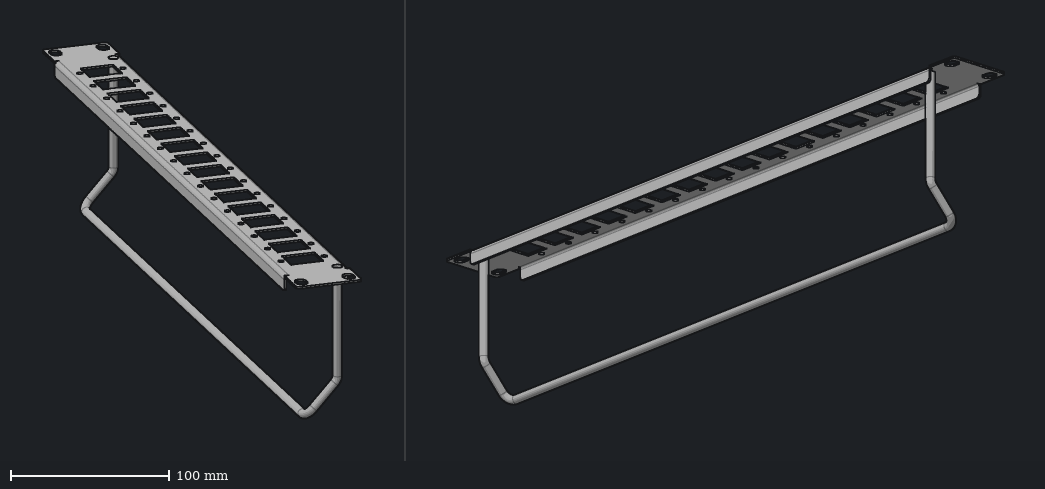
import cadquery as cq
import math

panel_length = 482.5
panel_width = 44.0
sheet = 1.5
ear_corner_radius = 2.5

flange_length = 435.5
flange_drop = 10.5
flange_corner_radius = 2.5
bend_outer_radius = 3.0
bend_inner_radius = bend_outer_radius - sheet

slot_length = 10.0
slot_width = 7.0
slot_spacing_x = 465.0
slot_spacing_y = 32.0

window_count = 16
window_row_span = 381.3
window_pitch = window_row_span / (window_count - 1)
window_width = 17.5
window_height = 21.5
screw_hole_diameter = 3.5
screw_hole_spacing_y = 29.0

rod_diameter = 6.5
rod_radius = rod_diameter / 2
leg_x = 212.0
leg_inset = 6.5
leg_y = panel_width / 2 - leg_inset
knee_z = -76.0
crossbar_y = -5.5
crossbar_z = -98.5
bend_radius = 7.0

sink_top_diameter = 6.5
sink_bottom_diameter = 3.2
thread_diameter = 3.0
thread_depth = 8.5
pilot_diameter = 2.45
pilot_depth = 16.0


def make_panel():
    """Flat sheet, ears included, with rounded corners and its top face at Z = 0."""
    plate = (
        cq.Workplane("XY")
        .box(panel_length, panel_width, sheet, centered=(True, True, False))
        .translate((0, 0, -sheet))
        .edges("|Z")
        .fillet(ear_corner_radius)
    )
    middle = cq.Workplane("XY").box(flange_length, panel_width, 2 * sheet)
    return plate.cut(middle).union(make_channel())


def make_channel():
    """Middle stretch of the panel: a shallow channel with rounded folds."""
    inner_width = panel_width - 2 * sheet
    outer = (
        cq.Workplane("XY")
        .box(flange_length, panel_width, flange_drop, centered=(True, True, False))
        .translate((0, 0, -flange_drop))
        .edges("|X and >Z")
        .fillet(bend_outer_radius)
    )
    inner = (
        cq.Workplane("XY")
        .box(flange_length, inner_width, flange_drop, centered=(True, True, False))
        .translate((0, 0, -flange_drop - sheet))
        .edges("|X and >Z")
        .fillet(bend_inner_radius)
    )
    return outer.cut(inner).edges("|Y and <Z").fillet(flange_corner_radius)


def make_panel_openings():
    """Cutters for the ear slots, the windows and their screw holes."""
    cut_depth = 2 * sheet
    row = [(-window_row_span / 2 + i * window_pitch, 0) for i in range(window_count)]
    screws = [(x, side * screw_hole_spacing_y / 2) for x, _ in row for side in (-1, 1)]

    def base():
        return cq.Workplane("XY", origin=(0, 0, -cut_depth))

    slots = (
        base()
        .rarray(slot_spacing_x, slot_spacing_y, 2, 2)
        .slot2D(slot_length, slot_width)
        .extrude(2 * cut_depth)
    )
    windows = base().pushPoints(row).rect(window_width, window_height).extrude(2 * cut_depth)
    holes = base().pushPoints(screws).circle(screw_hole_diameter / 2).extrude(2 * cut_depth)
    return slots.add(windows).add(holes).combine()


def bend_points(before, corner, after, radius):
    """Start, middle and end of the arc that rounds a corner of the rod's centre line."""
    to_before = (before - corner).normalized()
    to_after = (after - corner).normalized()
    half_angle = to_before.getAngle(to_after) / 2
    setback = radius / math.tan(half_angle)
    bisector = (to_before + to_after).normalized()
    middle = corner + bisector * (radius / math.sin(half_angle) - radius)
    return corner + to_before * setback, middle, corner + to_after * setback


def make_cable_bar():
    """Round rod swept along both legs, the knees and the crossbar."""
    path_corners = [
        cq.Vector(-leg_x, leg_y, -sheet / 2),
        cq.Vector(-leg_x, leg_y, knee_z),
        cq.Vector(-leg_x, crossbar_y, crossbar_z),
        cq.Vector(leg_x, crossbar_y, crossbar_z),
        cq.Vector(leg_x, leg_y, knee_z),
        cq.Vector(leg_x, leg_y, -sheet / 2),
    ]
    edges = []
    position = path_corners[0]
    for i in range(len(path_corners) - 2):
        start, middle, end = bend_points(*path_corners[i:i + 3], bend_radius)
        edges.append(cq.Edge.makeLine(position, start))
        edges.append(cq.Edge.makeThreePointArc(start, middle, end))
        position = end
    edges.append(cq.Edge.makeLine(position, path_corners[-1]))
    path = cq.Workplane(cq.Wire.assembleEdges(edges))
    profile = cq.Workplane("XY", origin=path_corners[0].toTuple()).circle(rod_radius)
    return profile.sweep(path)


def make_leg_hole(x):
    """Cutter for a countersunk, stepped blind hole down into one leg."""
    mouth = cq.Vector(x, leg_y, 0)
    down = cq.Vector(0, 0, -1)
    sink = cq.Solid.makeCone(sink_top_diameter / 2, sink_bottom_diameter / 2, sheet, mouth, down)
    thread = cq.Solid.makeCylinder(thread_diameter / 2, thread_depth, mouth, down)
    pilot = cq.Solid.makeCylinder(pilot_diameter / 2, pilot_depth, mouth, down)
    return cq.Workplane(sink).add(thread).add(pilot).combine()


result = make_panel().cut(make_panel_openings()).union(make_cable_bar())
for leg_side in (-1, 1):
    result = result.cut(make_leg_hole(leg_side * leg_x))